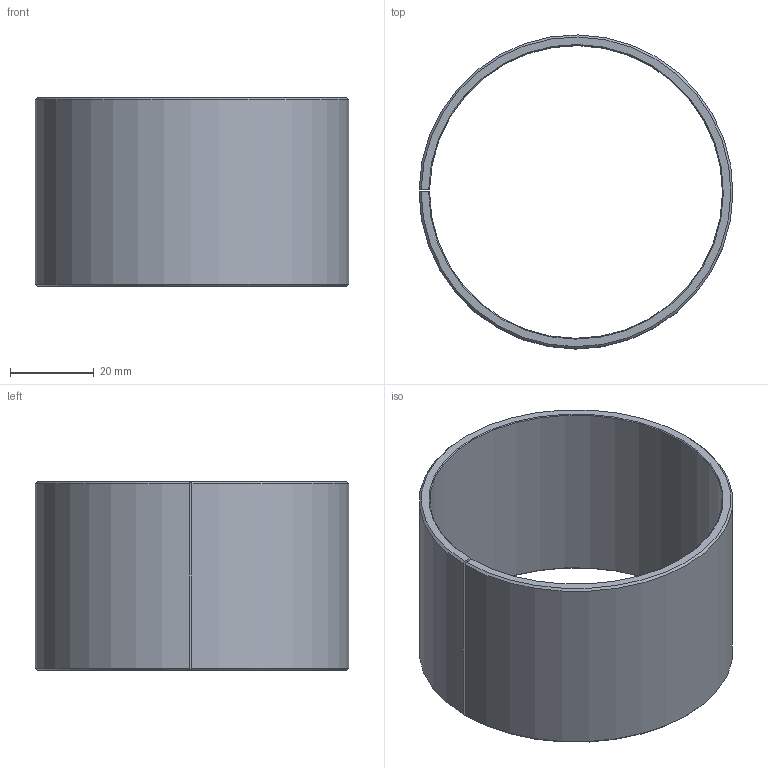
import cadquery as cq

outer_diameter = 75.0
wall_thickness = 2.5
length = 45.0

outer_chamfer = 0.5
bore_chamfer = 0.2

split_angle = 1.0

outer_radius = outer_diameter / 2
bore_radius = outer_radius - wall_thickness


def make_wall_section():
    """Chamfered wall section on the -X side of the XZ plane."""
    return (
        cq.Workplane("XZ")
        .moveTo(-bore_radius - bore_chamfer, 0)
        .lineTo(-outer_radius + outer_chamfer, 0)
        .lineTo(-outer_radius, outer_chamfer)
        .lineTo(-outer_radius, length - outer_chamfer)
        .lineTo(-outer_radius + outer_chamfer, length)
        .lineTo(-bore_radius - bore_chamfer, length)
        .lineTo(-bore_radius, length - bore_chamfer)
        .lineTo(-bore_radius, bore_chamfer)
        .close()
    )


result = make_wall_section().revolve(360 - split_angle, (0, 0, 0), (0, 1, 0))